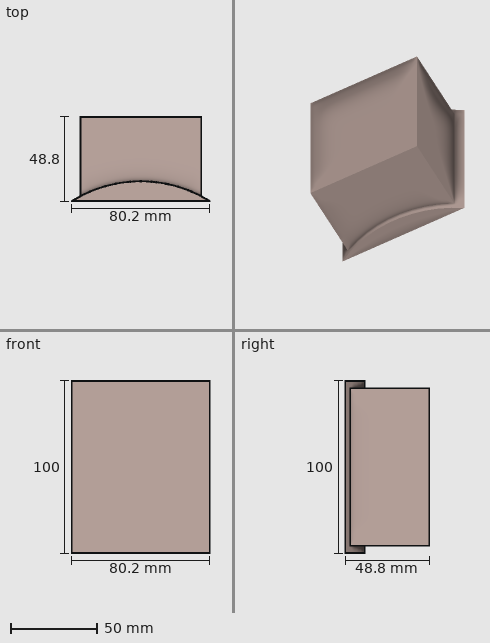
import cadquery as cq

cover_width = 80.2
cover_height = 100.0
cover_bulge = 11.5

block_width = 70.2
block_height = 91.5
total_depth = 48.8


def make_cover():
    """Circular-segment bar with its flat face on Y = 0."""
    half_width = cover_width / 2
    return (
        cq.Workplane("XY")
        .workplane(offset=-cover_height / 2)
        .moveTo(-half_width, 0)
        .threePointArc((0, cover_bulge), (half_width, 0))
        .close()
        .extrude(cover_height)
    )


def make_block(cover):
    """Rectangular block whose front is hollowed to fit the cover's arc."""
    return (
        cq.Workplane("XY")
        .box(block_width, total_depth, block_height, centered=(True, False, True))
        .cut(cover)
        .solids(">Y")
    )


cover = make_cover()
block = make_block(cover)

result = cq.Compound.makeCompound([cover.val(), block.val()])